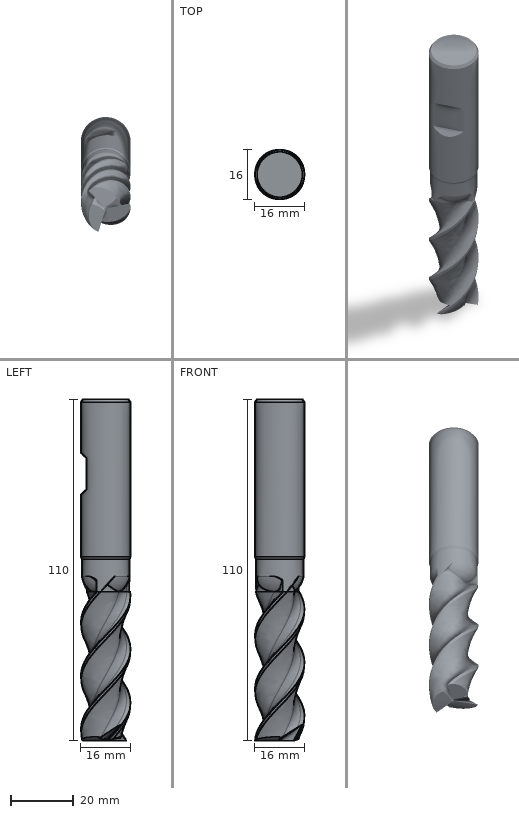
import cadquery as cq
import math

total_length = 110.0
tool_diameter = 16.0
tool_radius = tool_diameter / 2

shank_bottom = 58.5
shank_top_chamfer_height = 1.0
shank_top_chamfer_width = 0.7
flat_depth = 1.8
flat_length = 10.0
flat_centre_below_top = 24.0

neck_radius = 7.7
neck_step_height = 0.7
runout_height = 5.0
runout_floor_bow = 0.6
runout_corner_radius = 2.5

cutter_length = 48.0
flute_count = 3
flute_pitch_angle = 360.0 / flute_count
helix_lead = 51.6
first_tooth_angle = 68.0
land_angle = 9.0
land_relief = 0.12
valley_radius = 4.6
valley_angle = 33.0
rake_step_radius = 6.6
rake_step_angle = 5.5
rake_hollow = 0.4
back_bulge = 1.1

end_relief_angle = 15.0
gash_root_height = 0.4
gash_rise_angle = 22.0
gash_wall_lean = 40.0
gash_floor_angle = 25.0
clearance = 1.0


def polar(radius, angle):
    """Point at a radius and an angle in degrees about the tool axis."""
    return (radius * math.cos(math.radians(angle)), radius * math.sin(math.radians(angle)))


def bowed(start, end, bow):
    """Middle of a chord, moved to the right of its direction by the bow."""
    dx = end[0] - start[0]
    dy = end[1] - start[1]
    length = math.hypot(dx, dy)
    return ((start[0] + end[0]) / 2 + bow * dy / length, (start[1] + end[1]) / 2 - bow * dx / length)


def twist_over(height):
    return 360.0 * height / helix_lead


def tool_sector(start_angle, end_angle, z):
    """Pie-shaped outline at a height, reaching past the tool surface."""
    reach = tool_radius + 2 * clearance
    return (
        cq.Workplane("XY", origin=(0, 0, z))
        .lineTo(*polar(reach, start_angle))
        .threePointArc(polar(reach, (start_angle + end_angle) / 2), polar(reach, end_angle))
        .close()
    )


def cutter_profile(z):
    """Cross-section of the fluted cutter at a height: land, back and rake of every tooth."""
    middle_angle = first_tooth_angle + twist_over(z)
    heel_radius = tool_radius - land_relief
    edge_angle = middle_angle - land_angle / 2
    profile = cq.Workplane("XY", origin=(0, 0, z)).moveTo(*polar(tool_radius, edge_angle))
    for tooth in range(flute_count):
        edge_angle = middle_angle - land_angle / 2 + tooth * flute_pitch_angle
        next_edge_angle = edge_angle + flute_pitch_angle
        heel = polar(heel_radius, edge_angle + land_angle)
        land_middle = polar(tool_radius - land_relief / 2, edge_angle + land_angle / 2)
        valley = polar(valley_radius, next_edge_angle - valley_angle)
        rake_step = polar(rake_step_radius, next_edge_angle - rake_step_angle)
        next_edge = polar(tool_radius, next_edge_angle)
        profile = profile.threePointArc(land_middle, heel)
        profile = profile.threePointArc(bowed(heel, valley, back_bulge), valley)
        profile = profile.threePointArc(bowed(valley, rake_step, -rake_hollow), rake_step)
        profile = profile.lineTo(*next_edge)
    return profile.close()


def end_relief(edge_angle):
    """Wedge under one end tooth, rising from its cutting edge towards its heel."""
    width = tool_diameter
    wedge = (
        cq.Workplane("YZ")
        .polyline([(0, 0), (width, width * math.tan(math.radians(end_relief_angle))), (width, -clearance)])
        .close()
        .extrude(width)
    )
    sector = tool_sector(edge_angle, edge_angle + flute_pitch_angle, -clearance).extrude(tool_diameter)
    return wedge.rotate((0, 0, 0), (0, 0, 1), edge_angle).intersect(sector)


def end_gash(edge_angle):
    """V-shaped notch in front of one end cutting edge, its root rising outwards from the axis."""
    reach = tool_diameter
    wall_slope = math.tan(math.radians(gash_wall_lean))
    floor_slope = math.tan(math.radians(gash_floor_angle))
    in_front_of_wall = (
        cq.Workplane("YZ")
        .polyline(
            [
                (-clearance * wall_slope, -clearance),
                (reach * wall_slope, reach),
                (-reach, reach),
                (-reach, -clearance),
            ]
        )
        .close()
        .extrude(reach)
    )
    below_floor = (
        cq.Workplane("YZ")
        .polyline(
            [
                (-reach, gash_root_height - reach * floor_slope),
                (reach, gash_root_height + reach * floor_slope),
                (reach, -reach),
            ]
        )
        .close()
        .extrude(2 * reach)
        .rotate((0, 0, 0), (0, 1, 0), -gash_rise_angle)
    )
    notch = in_front_of_wall.intersect(below_floor)
    return notch.rotate((0, 0, 0), (0, 0, 1), edge_angle)


def make_cutter():
    cutter = cutter_profile(0).twistExtrude(cutter_length, twist_over(cutter_length))
    for tooth in range(flute_count):
        edge_angle = first_tooth_angle - land_angle / 2 + tooth * flute_pitch_angle
        cutter = cutter.cut(end_relief(edge_angle))
        cutter = cutter.cut(end_gash(edge_angle))
    return cutter


def runout_ring(heel_angle):
    """Ring around the neck whose hollow floor climbs from the flute bottom to the neck surface."""
    outer = tool_radius + clearance
    floor_bottom = (valley_radius, cutter_length)
    floor_top = (neck_radius, cutter_length + runout_height)
    return (
        cq.Workplane("XZ")
        .moveTo(*floor_bottom)
        .threePointArc(bowed(floor_bottom, floor_top, runout_floor_bow), floor_top)
        .lineTo(outer, floor_top[1])
        .lineTo(outer, cutter_length)
        .close()
        .revolve(360, (0, 0), (0, 1))
        .rotate((0, 0, 0), (0, 0, 1), heel_angle + flute_pitch_angle / 2 + 180)
    )


def flute_runout(heel_angle):
    """One flute end in the neck: its heel side follows the helix, its rake side runs straight up."""
    half_width_angle = (flute_pitch_angle - land_angle) / 2
    half_width = neck_radius * math.sin(math.radians(half_width_angle))
    window = (
        cq.Workplane("XZ")
        .moveTo(-tool_radius, cutter_length)
        .lineTo(half_width, cutter_length)
        .lineTo(half_width, cutter_length + runout_height - runout_corner_radius)
        .radiusArc((half_width - runout_corner_radius, cutter_length + runout_height), -runout_corner_radius)
        .lineTo(-tool_radius, cutter_length + runout_height)
        .close()
        .extrude(tool_radius + clearance)
    )
    window = window.rotate((0, 0, 0), (0, 0, 1), heel_angle + half_width_angle + 90)
    heel_side = tool_sector(heel_angle - flute_pitch_angle / 2, heel_angle, cutter_length)
    heel_side = heel_side.twistExtrude(runout_height, twist_over(runout_height))
    teeth = cutter_profile(cutter_length).extrude(runout_height)
    return runout_ring(heel_angle).intersect(window).cut(heel_side).cut(teeth)


def make_shank():
    shank = (
        cq.Workplane("XZ")
        .moveTo(0, cutter_length)
        .lineTo(neck_radius, cutter_length)
        .lineTo(neck_radius, shank_bottom)
        .lineTo(tool_radius, shank_bottom + neck_step_height)
        .lineTo(tool_radius, total_length - shank_top_chamfer_height)
        .lineTo(tool_radius - shank_top_chamfer_width, total_length)
        .lineTo(0, total_length)
        .close()
        .revolve(360, (0, 0), (0, 1))
    )
    flat_y = tool_radius - flat_depth
    flat_outer = tool_radius + clearance
    flat_z = total_length - flat_centre_below_top
    half_floor = flat_length / 2
    half_mouth = half_floor + flat_depth + clearance
    flat = (
        cq.Workplane("YZ", origin=(0, 0, flat_z))
        .polyline(
            [
                (flat_y, -half_floor),
                (flat_outer, -half_mouth),
                (flat_outer, half_mouth),
                (flat_y, half_floor),
            ]
        )
        .close()
        .extrude(tool_diameter, both=True)
    )
    shank = shank.cut(flat)
    first_heel_angle = first_tooth_angle + land_angle / 2 + twist_over(cutter_length)
    runout = flute_runout(first_heel_angle)
    for flute in range(flute_count):
        shank = shank.cut(runout.rotate((0, 0, 0), (0, 0, 1), flute * flute_pitch_angle))
    return shank


shank = make_shank()
cutter = make_cutter()
result = cq.Compound.makeCompound([shank.val(), cutter.val()])